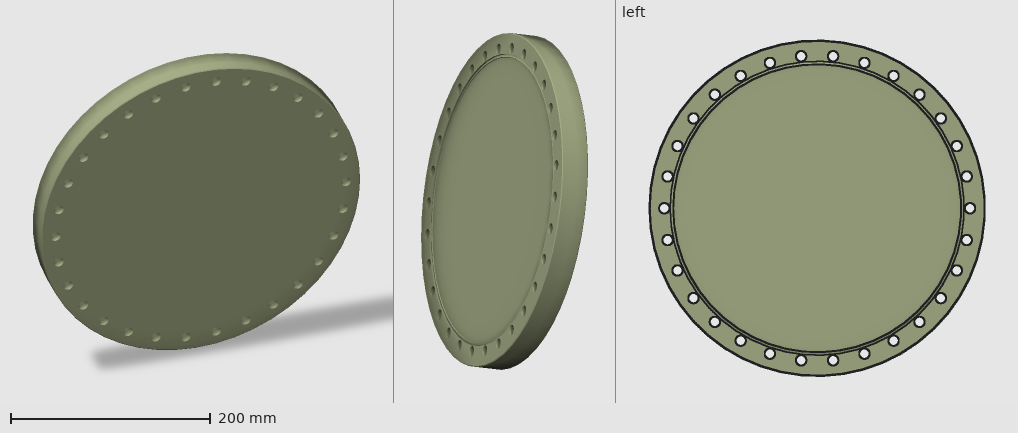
import cadquery as cq
import math

flange_diameter = 336.5
flange_thickness = 28.5
rim_chamfer = 0.8

bolt_count = 30
bolt_circle_diameter = 306.3
bolt_hole_diameter = 10.0
counterbore_diameter = 10.8
counterbore_depth = 3.0

recess_diameter = 294.5
knife_diameter = 288.8
knife_depth = 0.75
knife_slope_angle = 20.0
knife_flank_angle = 20.0

knife_slope_width = (recess_diameter - knife_diameter) / 2
knife_height = knife_slope_width * math.tan(math.radians(knife_slope_angle))
recess_depth = knife_depth + knife_height
knife_flank_width = knife_height * math.tan(math.radians(knife_flank_angle))
floor_diameter = knife_diameter - 2 * knife_flank_width


def revolve_about_x(half_profile):
    """Solid from a profile of (distance along X, radius) points that starts at the origin."""
    return cq.Workplane("XY").polyline(half_profile).close().revolve(360, (0, 0, 0), (1, 0, 0))


def make_disc():
    """Plain disc from X = 0 to the flange thickness, chamfered on both rims."""
    disc = cq.Workplane("YZ").circle(flange_diameter / 2).extrude(flange_thickness)
    return disc.edges("%CIRCLE").chamfer(rim_chamfer)


def make_seal_recess():
    """Volume to remove for the recess, shaped to leave the knife edge standing."""
    return revolve_about_x([
        (0, 0),
        (0, recess_diameter / 2),
        (recess_depth, recess_diameter / 2),
        (knife_depth, knife_diameter / 2),
        (recess_depth, floor_diameter / 2),
        (recess_depth, 0),
    ])


def make_bolt_holes():
    """Through holes on the bolt circle, each with a shallow counterbore at the sealing face."""
    hole = revolve_about_x([
        (0, 0),
        (0, counterbore_diameter / 2),
        (counterbore_depth, counterbore_diameter / 2),
        (counterbore_depth, bolt_hole_diameter / 2),
        (flange_thickness, bolt_hole_diameter / 2),
        (flange_thickness, 0),
    ])
    first_hole = hole.translate((0, bolt_circle_diameter / 2, 0))
    holes = cq.Workplane("YZ")
    for index in range(bolt_count):
        angle = index * 360 / bolt_count
        holes = holes.add(first_hole.rotate((0, 0, 0), (1, 0, 0), angle))
    return holes.combine()


result = make_disc().cut(make_seal_recess()).cut(make_bolt_holes())